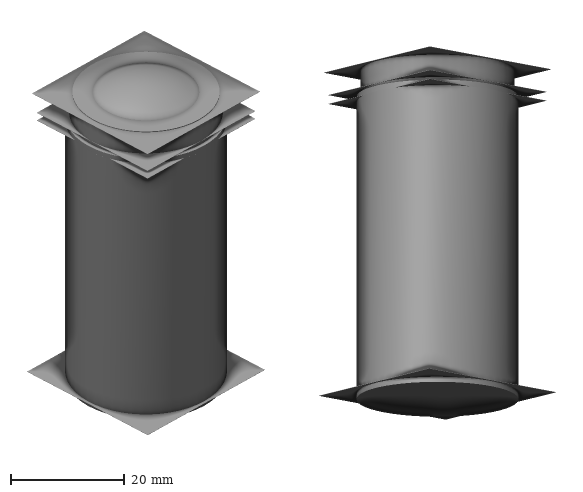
import cadquery as cq
import math

TOTAL_HEIGHT = 61.55

BODY_DIAMETER = 28.6
HOUSING_TOP = 53.7
FLANGE_THICKNESS = 1.0

NECK_DIAMETER = 27.2
CAP_BOTTOM = 56.95
CAP_TOP = 59.4

LENS_DIAMETER = 26.05
LENS_RIM_HEIGHT = 0.2
DOME_DIAMETER = 18.85

PLATE_THICKNESS = 0.05
BASE_PLATE_SIDE = 29.65
COLLAR_PLATE_SIDE = NECK_DIAMETER + PLATE_THICKNESS
CAP_PLATE_SIDE = 28.45
BASE_PLATE_TOP = FLANGE_THICKNESS
NECK_PLATE_TOP = 55.35


def disc(diameter, bottom, top):
    """Upright cylinder on the Z axis between two heights."""
    return cq.Workplane("XY").workplane(offset=bottom).circle(diameter / 2).extrude(top - bottom)


def square_plate(side, top):
    """Thin square plate centred on the Z axis, with its upper face at the given height."""
    return cq.Workplane("XY").workplane(offset=top - PLATE_THICKNESS).rect(side, side).extrude(PLATE_THICKNESS)


def make_housing():
    """Long cylinder with a square plate just above its lower end."""
    body = disc(BODY_DIAMETER, 0, HOUSING_TOP)
    return body.union(square_plate(BASE_PLATE_SIDE, BASE_PLATE_TOP))


def make_collar():
    """Flange as wide as the housing, with a narrower neck and two square plates."""
    flange_top = HOUSING_TOP + FLANGE_THICKNESS
    flange = disc(BODY_DIAMETER, HOUSING_TOP, flange_top)
    neck = disc(NECK_DIAMETER, flange_top, CAP_BOTTOM)
    flange_plate = square_plate(COLLAR_PLATE_SIDE, HOUSING_TOP + PLATE_THICKNESS)
    neck_plate = square_plate(COLLAR_PLATE_SIDE, NECK_PLATE_TOP)
    return flange.union(neck).union(flange_plate).union(neck_plate)


def make_cap():
    """Ring with a square plate level with its top, bored through for the lens."""
    ring = disc(NECK_DIAMETER, CAP_BOTTOM, CAP_TOP)
    bore = disc(LENS_DIAMETER, CAP_BOTTOM, CAP_TOP)
    return ring.union(square_plate(CAP_PLATE_SIDE, CAP_TOP)).cut(bore)


def make_lens():
    """Disc filling the bore of the cap, standing slightly proud, with a spherical dome on top."""
    shoulder = CAP_TOP + LENS_RIM_HEIGHT
    dome_height = TOTAL_HEIGHT - shoulder
    dome_radius = ((DOME_DIAMETER / 2) ** 2 + dome_height**2) / (2 * dome_height)
    dome_centre = TOTAL_HEIGHT - dome_radius

    middle_x = DOME_DIAMETER / 4
    middle_z = dome_centre + math.sqrt(dome_radius**2 - middle_x**2)

    half_section = (
        cq.Workplane("XZ")
        .moveTo(0, CAP_BOTTOM)
        .lineTo(LENS_DIAMETER / 2, CAP_BOTTOM)
        .lineTo(LENS_DIAMETER / 2, shoulder)
        .lineTo(DOME_DIAMETER / 2, shoulder)
        .threePointArc((middle_x, middle_z), (0, TOTAL_HEIGHT))
        .close()
    )
    return half_section.revolve()


housing = make_housing()
collar = make_collar()
cap = make_cap()
lens = make_lens()

result = cq.Compound.makeCompound([housing.val(), collar.val(), cap.val(), lens.val()])